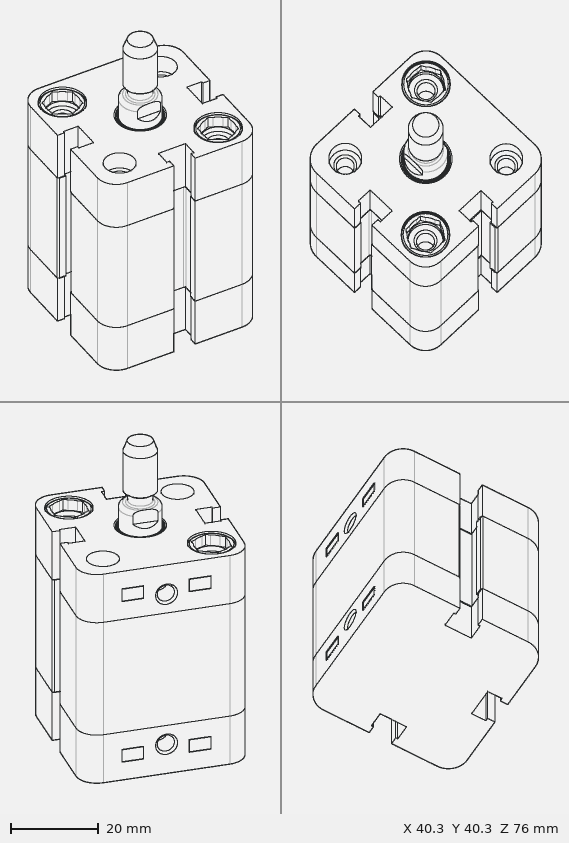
import cadquery as cq
import math

quarter_turn = 90.0
hexagon_sides = 6

total_height = 76.0
body_height = 54.0
body_side = 40.3
corner_radius = 5.0
cap_height = 12.5
half_side = body_side / 2
barrel_top = body_height - cap_height

slot_inner_width = 7.0
slot_cap_opening = 5.9
slot_cap_depth = 5.8
slot_cap_lip = 1.9
slot_barrel_opening = 5.5
slot_barrel_depth = 5.55
slot_barrel_lip = 2.1
slot_barrel_chamfer = 0.45

x_slot_depth = 5.8
x_slot_lip = 2.0
x_slot_cap_opening = 5.6
x_slot_cap_inner_width = 7.15
x_slot_barrel_opening = 5.5
x_slot_barrel_inner_width = 7.0
x_slot_barrel_fillet = 0.45

thread_core_diameter = 4.1
thread_mouth_diameter = 5.25
thread_depth = 6.1
port_inset = 7.6

label_width = 5.2
label_height = 3.2
label_depth = 0.2
label_offset = 8.05
label_inset = 6.2

corner_hole_offset = 13.0
counterbore_diameter = 7.5
counterbore_depth = 4.4

socket_recess_diameter = 11.1
socket_recess_depth = 0.6
collar_base_diameter = 10.9
collar_top_diameter = 10.2
collar_height = 0.4
socket_across_flats = 8.05
socket_relief_diameter = 8.35
socket_hex_depth = 3.0
socket_bore_diameter = 8.0
socket_bore_depth = 4.25

rod_diameter = 10.0
rod_shoulder_z = 60.05
rod_shoulder_round_width = 1.0
rod_shoulder_round_height = 1.2
neck_diameter = 5.8
neck_fillet = 0.45
neck_top_z = 62.5
thread_diameter = 8.0
thread_start_z = 63.2
tip_diameter = 6.0
tip_length = 2.6
flat_distance = 8.0
flat_bottom_z = 56.8

bearing_mouth_diameter = 12.0
bearing_recess_diameter = 11.4
wiper_outer_diameter = 10.9
wiper_inner_diameter = 10.5
bearing_recess_depth = 0.15


def t_slot_cutter(opening, inner_width, depth, lip, base_z, height, lip_chamfer=0.0, inner_fillet=0.0):
    """T-slot void open at the +X side, running along Z."""
    half_open = opening / 2
    lip_x = half_side - lip
    floor_x = half_side - depth
    slot_base = cq.Workplane("XY", origin=(0, 0, base_z))
    wide_part = slot_base.center((floor_x + lip_x) / 2, 0).rect(lip_x - floor_x, inner_width).extrude(height)
    if inner_fillet:
        wide_part = wide_part.edges("|Z").fillet(inner_fillet)
    mouth = slot_base.center(half_side - lip / 2, 0).rect(lip, opening).extrude(height)
    cutter = wide_part.union(mouth)
    if lip_chamfer:
        flare = [
            (half_side - lip_chamfer, half_open),
            (half_side, half_open + lip_chamfer),
            (half_side, -half_open - lip_chamfer),
            (half_side - lip_chamfer, -half_open),
        ]
        cutter = cutter.union(slot_base.polyline(flare).close().extrude(height))
    return cutter


def square_block(base_z, height):
    """Square block with rounded vertical edges."""
    block = cq.Workplane("XY", origin=(0, 0, base_z)).rect(body_side, body_side).extrude(height)
    return block.edges("|Z").fillet(corner_radius)


def cut_slots(block, x_slot, y_slot):
    """Cut one slot into the +X side and one into each Y side."""
    block = block.cut(x_slot)
    for angle in (-quarter_turn, quarter_turn):
        block = block.cut(y_slot.rotate((0, 0, 0), (0, 0, 1), angle))
    return block


def cylinder_down(diameter, top_z, depth):
    return cq.Workplane("XY", origin=(0, 0, top_z)).circle(diameter / 2).extrude(-depth)


def cone_down(top_diameter, bottom_diameter, top_z, depth):
    cone = cq.Solid.makeCone(bottom_diameter / 2, top_diameter / 2, depth)
    return cq.Workplane(obj=cone.translate(cq.Vector(0, 0, top_z - depth)))


def thread_cutter(mouth_z):
    """Blind hole going down from mouth_z, with a 45 degree lead-in."""
    lead_in = (thread_mouth_diameter - thread_core_diameter) / 2
    hole = cylinder_down(thread_core_diameter, mouth_z, thread_depth)
    return hole.union(cone_down(thread_mouth_diameter, thread_core_diameter, mouth_z, lead_in))


def cut_port_and_labels(cap, port_z, label_z):
    """Air port and its two label recesses in the -X face."""
    port = thread_cutter(0).rotate((0, 0, 0), (0, 1, 0), -quarter_turn).translate((-half_side, 0, port_z))
    cap = cap.cut(port)
    for side in (-1, 1):
        recess = cq.Workplane("XY").box(2 * label_depth, label_width, label_height)
        cap = cap.cut(recess.translate((-half_side, side * label_offset, label_z)))
    return cap


def make_cap_blank(base_z):
    x_slot = t_slot_cutter(
        x_slot_cap_opening, x_slot_cap_inner_width, x_slot_depth, x_slot_lip, base_z, cap_height
    )
    y_slot = t_slot_cutter(
        slot_cap_opening, slot_inner_width, slot_cap_depth, slot_cap_lip, base_z, cap_height
    )
    return cut_slots(square_block(base_z, cap_height), x_slot, y_slot)


def counterbored_hole_cutter():
    bore = cylinder_down(counterbore_diameter, body_height, counterbore_depth)
    return bore.union(thread_cutter(body_height - counterbore_depth))


def hex_socket_cutter():
    """Recess around a bevelled collar, hexagon with a round relief, round bore and threaded hole."""
    across_corners = socket_across_flats / math.cos(math.pi / hexagon_sides)
    collar_top_z = body_height - socket_recess_depth + collar_height
    collar = cone_down(collar_top_diameter, collar_base_diameter, collar_top_z, collar_height)
    hexagon = cq.Workplane("XY", origin=(0, 0, body_height)).polygon(hexagon_sides, across_corners)
    cutter = cylinder_down(socket_recess_diameter, body_height, socket_recess_depth).cut(collar)
    cutter = cutter.union(hexagon.extrude(-socket_hex_depth))
    cutter = cutter.union(cylinder_down(socket_relief_diameter, body_height, socket_hex_depth))
    cutter = cutter.union(cylinder_down(socket_bore_diameter, body_height, socket_bore_depth))
    return cutter.union(thread_cutter(body_height - socket_bore_depth))


def bearing_cutter():
    """Rod bore with a tapered mouth and a bevelled wiper seat."""
    seat_z = body_height - bearing_recess_depth
    wiper_depth = (wiper_outer_diameter - wiper_inner_diameter) / 2
    cutter = cylinder_down(rod_diameter, body_height, cap_height)
    cutter = cutter.union(
        cone_down(bearing_mouth_diameter, bearing_recess_diameter, body_height, bearing_recess_depth)
    )
    return cutter.union(cone_down(wiper_outer_diameter, wiper_inner_diameter, seat_z, wiper_depth))


def make_head_cap():
    cap = make_cap_blank(barrel_top)
    cap = cut_port_and_labels(cap, body_height - port_inset, body_height - label_inset)
    for side in (-1, 1):
        x = side * corner_hole_offset
        cap = cap.cut(hex_socket_cutter().translate((x, x, 0)))
        cap = cap.cut(counterbored_hole_cutter().translate((x, -x, 0)))
    return cap.cut(bearing_cutter())


def make_bottom_cap():
    return cut_port_and_labels(make_cap_blank(0), port_inset, label_inset)


def make_barrel():
    barrel_height = barrel_top - cap_height
    x_slot = t_slot_cutter(
        x_slot_barrel_opening,
        x_slot_barrel_inner_width,
        x_slot_depth,
        x_slot_lip,
        cap_height,
        barrel_height,
        inner_fillet=x_slot_barrel_fillet,
    )
    y_slot = t_slot_cutter(
        slot_barrel_opening,
        slot_inner_width,
        slot_barrel_depth,
        slot_barrel_lip,
        cap_height,
        barrel_height,
        lip_chamfer=slot_barrel_chamfer,
    )
    return cut_slots(square_block(cap_height, barrel_height), x_slot, y_slot)


def make_piston_rod():
    """Turned rod standing on the barrel, with a pair of wrench flats."""
    rod_radius = rod_diameter / 2
    neck_radius = neck_diameter / 2
    thread_radius = thread_diameter / 2
    arc_share = math.sqrt(0.5)
    neck_mid = (
        neck_radius + neck_fillet * (1 - arc_share),
        rod_shoulder_z + neck_fillet * (1 - arc_share),
    )
    profile = (
        cq.Workplane("XZ")
        .moveTo(0, barrel_top)
        .lineTo(rod_radius, barrel_top)
        .lineTo(rod_radius, rod_shoulder_z - rod_shoulder_round_height)
        .tangentArcPoint((rod_radius - rod_shoulder_round_width, rod_shoulder_z), relative=False)
        .lineTo(neck_radius + neck_fillet, rod_shoulder_z)
        .threePointArc(neck_mid, (neck_radius, rod_shoulder_z + neck_fillet))
        .lineTo(neck_radius, neck_top_z)
        .lineTo(thread_radius, thread_start_z)
        .lineTo(thread_radius, total_height - tip_length)
        .lineTo(tip_diameter / 2, total_height)
        .lineTo(0, total_height)
        .close()
    )
    rod = profile.revolve(4 * quarter_turn, (0, 0, 0), (0, 1, 0))

    flat_x = flat_distance / 2
    slope_height = rod_radius - flat_x
    flat_profile = [
        (flat_x, rod_shoulder_z),
        (flat_x, flat_bottom_z),
        (rod_radius, flat_bottom_z - slope_height),
        (rod_radius, rod_shoulder_z),
    ]
    flat = cq.Workplane("XZ").polyline(flat_profile).close().extrude(rod_radius, both=True)
    return rod.cut(flat).cut(flat.mirror("YZ"))


head_cap = make_head_cap()
barrel = make_barrel()
bottom_cap = make_bottom_cap()
piston_rod = make_piston_rod()

bodies = [head_cap, barrel, bottom_cap, piston_rod]
result = cq.Compound.makeCompound([body.solids().val() for body in bodies])